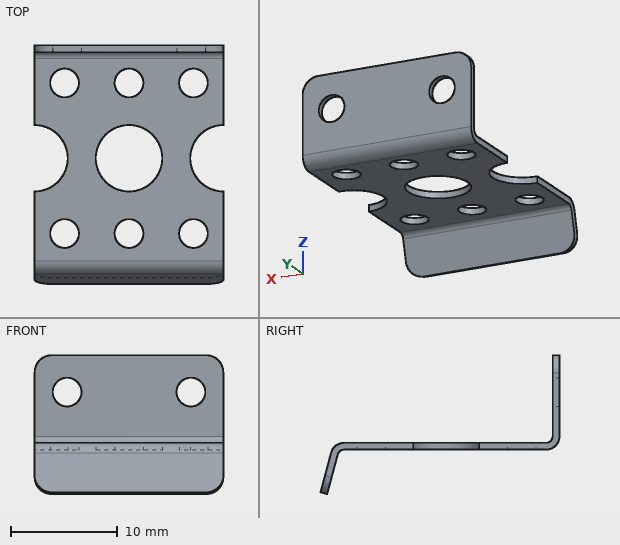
import cadquery as cq
import math


width = 17.74
overall_length = 22.45
overall_height = 13.06
thickness = 0.66
inner_bend_radius = 0.60
outer_bend_radius = inner_bend_radius + thickness
corner_radius = 1.65

back_face_y = 10.63
flange_height = 8.23
flange_hole_spacing = 11.62
flange_hole_drop = 3.48

lip_bend_angle = math.radians(75)
lip_tip_y = back_face_y - overall_length
lip_tip_z = flange_height - overall_height

small_hole_diameter = 2.68
large_hole_diameter = 6.22
hole_pitch_x = 6.05
hole_pitch_y = 14.13

lip_out = math.cos(lip_bend_angle)
lip_down = math.sin(lip_bend_angle)

lip_outer_end_z = lip_tip_z + thickness * lip_out
lip_bend_drop = outer_bend_radius * (1 - lip_out)
lip_straight_length = (-lip_outer_end_z - lip_bend_drop) / lip_down
lip_bend_y = lip_tip_y + lip_straight_length * lip_out + outer_bend_radius * lip_down


def lip_bend_point(radius, angle):
    """Point (Y, Z) on the front bend, at an angle measured from the base plate."""
    return (
        lip_bend_y - radius * math.sin(angle),
        -outer_bend_radius + radius * math.cos(angle),
    )


def back_bend_point(radius, angle):
    """Point (Y, Z) on the back bend, at an angle measured from the base plate."""
    return (
        back_face_y - outer_bend_radius + radius * math.sin(angle),
        inner_bend_radius - radius * math.cos(angle),
    )


def bent_sheet():
    """Side profile of the bent sheet, extruded across the full width."""
    half_back = math.radians(45)
    full_back = math.radians(90)
    half_lip = lip_bend_angle / 2
    flange_front_y = back_face_y - thickness
    lip_inner_end = (lip_tip_y + thickness * lip_down, lip_tip_z)
    profile = (
        cq.Workplane("YZ", origin=(-width / 2, 0, 0))
        .moveTo(back_face_y, flange_height)
        .lineTo(*back_bend_point(outer_bend_radius, full_back))
        .threePointArc(
            back_bend_point(outer_bend_radius, half_back),
            back_bend_point(outer_bend_radius, 0),
        )
        .lineTo(*lip_bend_point(inner_bend_radius, 0))
        .threePointArc(
            lip_bend_point(inner_bend_radius, half_lip),
            lip_bend_point(inner_bend_radius, lip_bend_angle),
        )
        .lineTo(*lip_inner_end)
        .lineTo(lip_tip_y, lip_outer_end_z)
        .lineTo(*lip_bend_point(outer_bend_radius, lip_bend_angle))
        .threePointArc(
            lip_bend_point(outer_bend_radius, half_lip),
            lip_bend_point(outer_bend_radius, 0),
        )
        .lineTo(*back_bend_point(inner_bend_radius, 0))
        .threePointArc(
            back_bend_point(inner_bend_radius, half_back),
            back_bend_point(inner_bend_radius, full_back),
        )
        .lineTo(flange_front_y, flange_height)
        .close()
    )
    return profile.extrude(width)


def round_free_corners(sheet):
    """Round the two outer corners of the back flange and of the front lip."""
    lip_normal = cq.Vector(0, -lip_down, lip_out)
    lip_direction = cq.Vector(0, -lip_out, -lip_down)
    flange_corners = sheet.faces(">Z").edges("|Y")
    lip_end_face = sheet.faces(cq.selectors.DirectionMinMaxSelector(lip_direction, True))
    lip_corners = lip_end_face.edges(cq.selectors.ParallelDirSelector(lip_normal))
    return sheet.newObject(flange_corners.vals() + lip_corners.vals()).fillet(corner_radius)


def base_holes():
    """Cutters for the base: six small holes, the large hole and two edge notches."""
    base = cq.Workplane("XY", origin=(0, 0, -thickness))
    columns, rows = 3, 2
    small = base.rarray(hole_pitch_x, hole_pitch_y, columns, rows).circle(small_hole_diameter / 2)
    small = small.extrude(thickness)
    large = base.pushPoints([(x, 0) for x in (-width / 2, 0, width / 2)]).circle(large_hole_diameter / 2)
    large = large.extrude(thickness)
    return small.union(large)


def flange_holes():
    """Cutters for the two holes through the back flange."""
    return (
        cq.Workplane("XZ", origin=(0, back_face_y, flange_height - flange_hole_drop))
        .pushPoints([(-flange_hole_spacing / 2, 0), (flange_hole_spacing / 2, 0)])
        .circle(small_hole_diameter / 2)
        .extrude(thickness)
    )


result = round_free_corners(bent_sheet()).cut(base_holes()).cut(flange_holes())